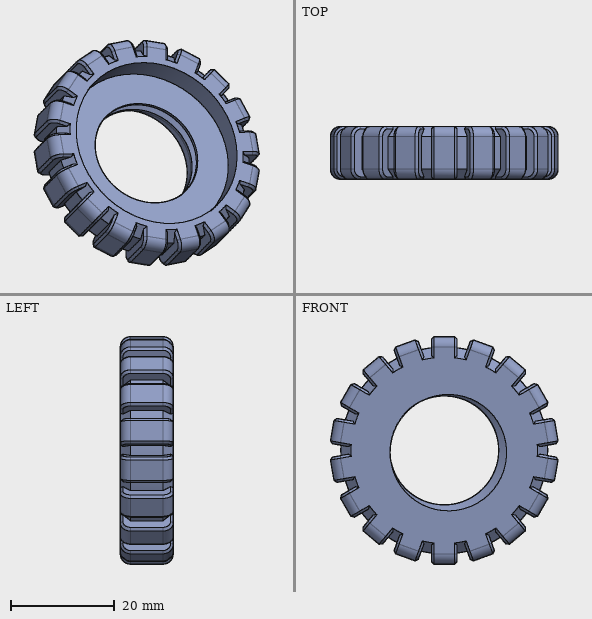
import cadquery as cq
import math

width = 10.25
half_width = width / 2
body_radius = 20.0
body_chamfer = 2.0

lug_count = 18
lug_top_radius = 22.0
lug_root_radius = 17.0
lug_length = 5.0
lug_shoulder_radius = 2.0
lug_chamfer = 0.5

bore_radius = 21.0 / 2

seat_axis = (0.039, 1.0, 0.036)
seat_center_y = -1.97
lip_length = 0.7
groove_length = 2.3
groove_radius = 24.55 / 2
seat_length = groove_length + 2 * lip_length

entry_radius = 22.5 / 2
entry_offset_x = 0.8
entry_offset_z = -0.43

cavity_radius = 33.5 / 2


def plane_across_axis(y, x=0.0, z=0.0):
    """Plane facing +Y at the given point; circles drawn on it start and end on the -X side."""
    return cq.Plane(origin=(x, y, z), xDir=(-1, 0, 0), normal=(0, 1, 0))


def disc(radius, y_start, y_end):
    return cq.Workplane(plane_across_axis(y_start)).circle(radius).extrude(y_end - y_start)


def seat_plane():
    """Leaning plane through the middle of the rim seat."""
    return cq.Plane(origin=(0, seat_center_y, 0), normal=seat_axis)


def leaning_disc(radius, start, length):
    """Disc on the seat axis; start is measured along that axis from the seat centre."""
    return cq.Workplane(seat_plane()).workplane(offset=start).circle(radius).extrude(length)


def make_body():
    return disc(body_radius, -half_width, half_width).edges().chamfer(body_chamfer)


def make_lug():
    """Lug at the top of the tyre, rounded at both shoulders and chamfered along its sides."""
    height = lug_top_radius - lug_root_radius
    lug = cq.Workplane("XY").box(lug_length, width, height, centered=(True, True, False))
    lug = lug.edges(">Z and |X").fillet(lug_shoulder_radius)
    lug = lug.faces("<X or >X").edges("not <Z").chamfer(lug_chamfer)
    return lug.translate((0, 0, lug_root_radius))


def make_seat():
    """Straight bore whose two ends are cut square to the leaning seat axis."""
    slab = leaning_disc(lug_top_radius, -seat_length / 2, seat_length)
    return disc(bore_radius, -half_width, half_width).intersect(slab)


def make_entry(seat):
    """Flare from the off-centre circle on the front face to the front end of the seat."""
    mouth_plane = plane_across_axis(-half_width, entry_offset_x, entry_offset_z)
    mouth = cq.Workplane(mouth_plane).circle(entry_radius).wires().val()
    throat = seat.faces("<Y").wires().val()
    return cq.Workplane(obj=cq.Solid.makeLoft([mouth, throat], True))


def make_groove():
    """Two cones, base to base on the seat axis, that stand proud of the bore as a V ring."""
    half_length = groove_length / 2
    flank_angle = math.degrees(math.atan2(groove_radius - bore_radius, half_length))
    plane = seat_plane()
    front = cq.Workplane(plane).circle(groove_radius).extrude(-half_length, taper=flank_angle)
    rear = cq.Workplane(plane).circle(groove_radius).extrude(half_length, taper=flank_angle)
    return front.union(rear)


def make_cavity():
    """Cylinder open at the back, with its floor square to the leaning seat axis."""
    space = leaning_disc(lug_top_radius, seat_length / 2, width)
    return disc(cavity_radius, -half_width, half_width).intersect(space)


def make_bore():
    seat = make_seat()
    return seat.union(make_entry(seat)).union(make_groove()).union(make_cavity())


tyre = make_body()
lug = make_lug()
for index in range(lug_count):
    angle = index * 360 / lug_count
    tyre = tyre.union(lug.rotate((0, 0, 0), (0, 1, 0), angle))

result = tyre.cut(make_bore()).solids()